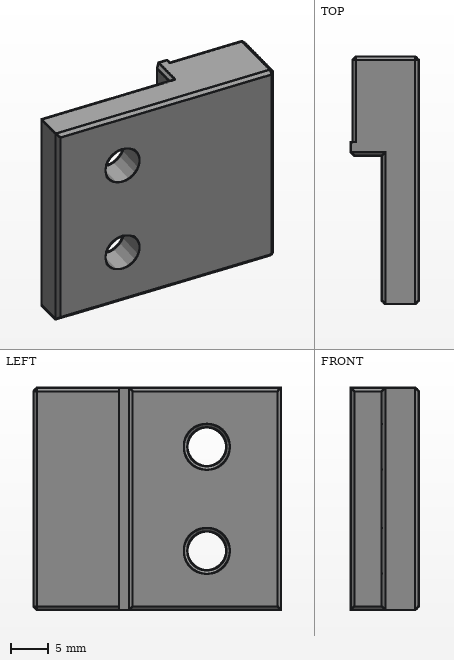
import cadquery as cq

width = 9.2
length = 33.4
height = 30.0

edge_chamfer = 0.5
plate_thickness = 5.0
step_y = 20.0
lip_back_y = 21.85
lip_rise = 0.25

hole_diameter = 5.2
hole_y = 10.02
hole_spacing = 14.03

plate_x = width - plate_thickness


def point_selector(x, y, z):
    """Select the edge whose middle lies nearest to the given point."""
    return cq.selectors.NearestToPointSelector((x, y, z))


def make_front_section():
    """Thin plate and lip, with the outer and step edges chamfered."""
    body = (
        cq.Workplane("XY")
        .moveTo(plate_x, 0)
        .lineTo(width, 0)
        .lineTo(width, lip_back_y)
        .lineTo(0, lip_back_y)
        .lineTo(0, step_y)
        .lineTo(plate_x, step_y)
        .close()
        .extrude(height)
    )
    chosen = [
        (plate_x, 0, height / 2),
        (width, 0, height / 2),
        (0, step_y, height / 2),
    ]
    for z in (0, height):
        chosen.append((plate_x, step_y / 2, z))
        chosen.append((plate_x / 2, step_y, z))
        chosen.append((width, lip_back_y / 2, z))
    edges = [body.edges(point_selector(*point)).val() for point in chosen]
    return body.newObject(edges).chamfer(edge_chamfer)


def make_thick_block():
    """Block behind the lip, chamfered everywhere except where it meets the lip."""
    return (
        cq.Workplane("XY")
        .box(width - lip_rise, length - lip_back_y, height, centered=False)
        .translate((lip_rise, lip_back_y, 0))
        .edges("(|Y) or (>Y)")
        .chamfer(edge_chamfer)
    )


def make_hole(z):
    """Through hole along X, countersunk on the plate face."""
    mouth_diameter = hole_diameter + 2 * edge_chamfer
    bore = (
        cq.Workplane("YZ", origin=(plate_x, hole_y, z))
        .circle(hole_diameter / 2)
        .extrude(plate_thickness)
    )
    countersink = cq.Workplane(
        cq.Solid.makeCone(
            mouth_diameter / 2,
            hole_diameter / 2,
            edge_chamfer,
            pnt=cq.Vector(plate_x, hole_y, z),
            dir=cq.Vector(1, 0, 0),
        )
    )
    return bore.union(countersink)


result = make_front_section().union(make_thick_block())
for side in (-1, 1):
    result = result.cut(make_hole(height / 2 + side * hole_spacing / 2))